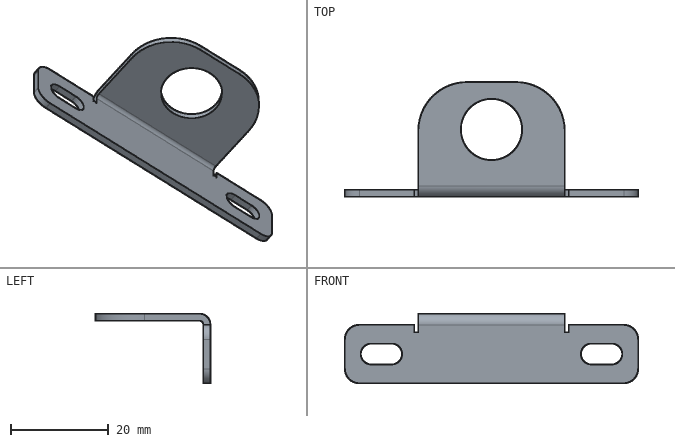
import cadquery as cq

thickness = 1.5
bend_outer_radius = 2.3
bend_inner_radius = bend_outer_radius - thickness

plate_length = 60.0
plate_height = 12.0
plate_corner_radius = 3.0
slot_length = 8.4
slot_height = 4.2
slot_spacing = 45.0

tab_width = 30.0
tab_reach = 23.5
tab_corner_radius = 10.0
tab_hole_diameter = 12.5
tab_hole_y = 13.8
tab_top = plate_height + bend_outer_radius

relief_width = 0.8
relief_depth = 1.5


def make_base_plate():
    """Rounded upright plate with a mounting slot near each end."""
    plate = (
        cq.Workplane("XY")
        .box(plate_length, thickness, plate_height, centered=(True, False, False))
        .edges("|Y")
        .fillet(plate_corner_radius)
    )
    slots = (
        cq.Workplane("XZ")
        .center(0, plate_height / 2)
        .rarray(slot_spacing, 0.6, 2, 1)
        .slot2D(slot_length, slot_height)
        .extrude(-thickness)
    )
    return plate.cut(slots)


def make_relief_notches():
    """Cutters for the notches that free the plate edge from the bend."""
    return (
        cq.Workplane("XZ")
        .center(0, plate_height - relief_depth / 2)
        .rarray(tab_width + relief_width, 0.6, 2, 1)
        .rect(relief_width, relief_depth)
        .extrude(-thickness)
    )


def make_bent_tab():
    """Quarter-round bend and horizontal tab with rounded far corners and a hole."""
    tab = (
        cq.Workplane("YZ")
        .moveTo(0, plate_height)
        .radiusArc((bend_outer_radius, tab_top), bend_outer_radius)
        .lineTo(tab_reach, tab_top)
        .lineTo(tab_reach, tab_top - thickness)
        .lineTo(bend_outer_radius, tab_top - thickness)
        .radiusArc((thickness, plate_height), -bend_inner_radius)
        .close()
        .extrude(tab_width / 2, both=True)
        .edges("|Z and >Y")
        .fillet(tab_corner_radius)
    )
    hole = (
        cq.Workplane("XY", origin=(0, tab_hole_y, tab_top - thickness))
        .circle(tab_hole_diameter / 2)
        .extrude(thickness)
    )
    return tab.cut(hole)


result = make_base_plate().cut(make_relief_notches()).union(make_bent_tab())